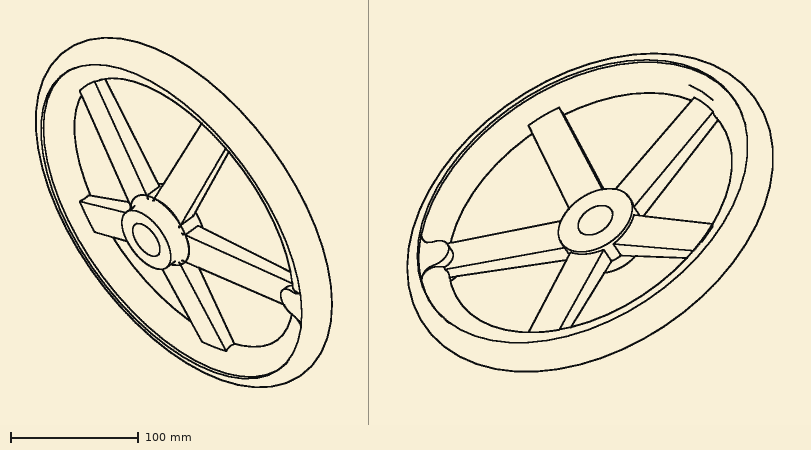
import cadquery as cq
import math

wheel_radius = 157.5
rim_width = 28.0
rim_half = rim_width / 2
grip_inner_radius = 287.0 / 2
step_depth = 2.8
web_inner_radius = 130.7
web_edge = rim_half - step_depth
web_slope_drop = 2.2
rim_inner_radius = 124.0

bore_radius = 30.0 / 2
hub_radius = 54.0 / 2
overall_depth = 56.0
hub_front = rim_half - overall_depth
hub_collar_length = 9.5
flare_radius = 32.0
flare_length = 5.5
hub_back = -9.5

spoke_count = 5
spoke_inner_radius = 22.0
spoke_outer_radius = 129.0
spoke_root_width = 30.2
spoke_tip_width = 28.0
spoke_root_front = -26.5
spoke_tip_front = -5.7
spoke_root_back = -12.3
spoke_tip_back = 4.0

pad_radius = 13.0
pad_centre = 130.5
pad_fillet = 10.5
pad_end = 146.5
pad_front = -web_edge
pad_back = web_edge


def revolve_about_y(profile):
    """Turn a closed (radius, Y) profile around the wheel axis."""
    return profile.close().revolve(360, (0, 0, 0), (0, 1, 0))


def make_rim():
    web_end = web_edge - web_slope_drop
    return revolve_about_y(
        cq.Workplane("XY")
        .moveTo(grip_inner_radius, -rim_half)
        .threePointArc((wheel_radius, 0), (grip_inner_radius, rim_half))
        .lineTo(grip_inner_radius, web_edge)
        .lineTo(web_inner_radius, web_end)
        .threePointArc((rim_inner_radius, 0), (web_inner_radius, -web_end))
        .lineTo(grip_inner_radius, -web_edge)
    )


def make_hub():
    collar_end = hub_front + hub_collar_length
    flare_end = collar_end + flare_length
    flare_step = flare_radius - hub_radius
    arc_radius = (flare_step**2 + flare_length**2) / (2 * flare_step)
    half_angle = math.asin(flare_length / arc_radius) / 2
    flare_middle = (
        hub_radius + arc_radius * (1 - math.cos(half_angle)),
        collar_end + arc_radius * math.sin(half_angle),
    )
    return revolve_about_y(
        cq.Workplane("XY")
        .moveTo(0, hub_front)
        .lineTo(hub_radius, hub_front)
        .lineTo(hub_radius, collar_end)
        .threePointArc(flare_middle, (flare_radius, flare_end))
        .lineTo(flare_radius, hub_back)
        .lineTo(0, hub_back)
    )


def along_spoke(radius, root_value, tip_value):
    """Linear taper between the hub flare and the rim bore, extended to any radius."""
    share = (radius - flare_radius) / (rim_inner_radius - flare_radius)
    return root_value + share * (tip_value - root_value)


def make_spoke():
    ends = (spoke_inner_radius, spoke_outer_radius)
    front = [(r, along_spoke(r, spoke_root_front, spoke_tip_front)) for r in ends]
    back = [(r, along_spoke(r, spoke_root_back, spoke_tip_back)) for r in reversed(ends)]
    side_profile = cq.Workplane("XY").polyline(front + back).close().extrude(spoke_root_width, both=True)
    half_widths = [(r, along_spoke(r, spoke_root_width, spoke_tip_width) / 2) for r in ends]
    mirrored = [(r, -half) for r, half in reversed(half_widths)]
    plan = cq.Workplane("XZ").polyline(half_widths + mirrored).close().extrude(wheel_radius, both=True)
    return side_profile.intersect(plan)


def make_handle_pad():
    """Flat pad with a round nose whose sides flare outwards to meet the grip."""
    flare_x = pad_centre + pad_fillet
    flare_half = pad_radius + pad_fillet
    diagonal = pad_fillet * math.sqrt(0.5)
    side_x = pad_centre + diagonal
    side_z = flare_half - diagonal
    return (
        cq.Workplane("XZ", origin=(0, pad_back, 0))
        .moveTo(pad_centre, pad_radius)
        .threePointArc((side_x, side_z), (flare_x, flare_half))
        .lineTo(pad_end, flare_half)
        .lineTo(pad_end, -flare_half)
        .lineTo(flare_x, -flare_half)
        .threePointArc((side_x, -side_z), (pad_centre, -pad_radius))
        .threePointArc((pad_centre - pad_radius, 0), (pad_centre, pad_radius))
        .close()
        .extrude(pad_back - pad_front)
    )


result = make_rim().union(make_hub())
for index in range(spoke_count):
    angle = index * 360 / spoke_count
    result = result.union(make_spoke().rotate((0, 0, 0), (0, 1, 0), angle))
result = result.union(make_handle_pad())
bore = cq.Workplane("XZ").circle(bore_radius).extrude(wheel_radius, both=True)
result = result.cut(bore)